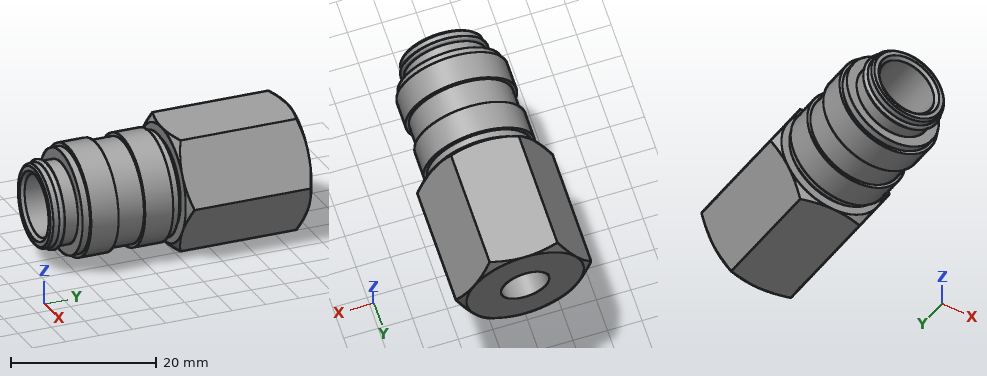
import cadquery as cq
import math

HEX_SIDES = 6
AXIS = cq.Vector(0, 1, 0)

total_length = 38.0

hex_across_flats = 17.0
hex_start = 19.1
hex_chamfer_angle = 30.0

nose_radius = 6.0
nose_chamfer = 0.3
body_radius = 7.6
collar_radius = 8.1
neck_radius = 6.75
body_start = 4.0
front_collar_start = 5.1
front_collar_end = 9.2
rear_collar_start = 13.2
rear_collar_end = 17.4
body_end = 18.5

ring_center = 1.6
ring_wire_radius = 0.4

mouth_radius = 4.5
mouth_chamfer = 0.5
mouth_depth = hex_start
through_radius = 3.5


def cylinder(radius, start, end):
    """Cylinder about the Y axis between two distances from the nose tip."""
    return cq.Workplane(cq.Solid.makeCylinder(radius, end - start, cq.Vector(0, start, 0), AXIS))


def revolve_about_y(profile):
    """Full revolution of an XY profile about the Y axis."""
    return profile.revolve(360, (0, 0, 0), AXIS.toTuple())


def make_hex_nut():
    """Hexagon with corners on X, both ends chamfered from the inscribed circle."""
    inscribed_radius = hex_across_flats / 2
    corner_radius = inscribed_radius / math.cos(math.pi / HEX_SIDES)
    chamfer_length = (corner_radius - inscribed_radius) * math.tan(math.radians(hex_chamfer_angle))
    prism = (
        cq.Workplane("XZ", origin=(0, total_length, 0))
        .polygon(HEX_SIDES, 2 * corner_radius)
        .extrude(total_length - hex_start)
    )
    envelope = revolve_about_y(
        cq.Workplane("XY")
        .moveTo(0, hex_start)
        .lineTo(inscribed_radius, hex_start)
        .lineTo(corner_radius, hex_start + chamfer_length)
        .lineTo(corner_radius, total_length - chamfer_length)
        .lineTo(inscribed_radius, total_length)
        .lineTo(0, total_length)
        .close()
    )
    return prism.intersect(envelope)


def make_body():
    """Neck and sleeve with two raised collars."""
    body = cylinder(neck_radius, body_end, hex_start)
    body = body.union(cylinder(body_radius, body_start, body_end))
    body = body.union(cylinder(collar_radius, front_collar_start, front_collar_end))
    return body.union(cylinder(collar_radius, rear_collar_start, rear_collar_end))


def make_nose():
    """Chamfered nose carrying the wire ring."""
    nose = cylinder(nose_radius, 0, body_start).faces("<Y").edges().chamfer(nose_chamfer)
    center = cq.Vector(0, ring_center, 0)
    ring = cq.Workplane(cq.Solid.makeTorus(nose_radius, ring_wire_radius, center, AXIS))
    return nose.union(ring)


def make_bore():
    """Through hole with a wider, chamfered mouth at the nose."""
    mouth = revolve_about_y(
        cq.Workplane("XY")
        .lineTo(mouth_radius + mouth_chamfer, 0)
        .lineTo(mouth_radius, mouth_chamfer)
        .lineTo(mouth_radius, mouth_depth)
        .lineTo(0, mouth_depth)
        .close()
    )
    return mouth.union(cylinder(through_radius, 0, total_length))


result = make_hex_nut().union(make_body()).union(make_nose()).cut(make_bore())